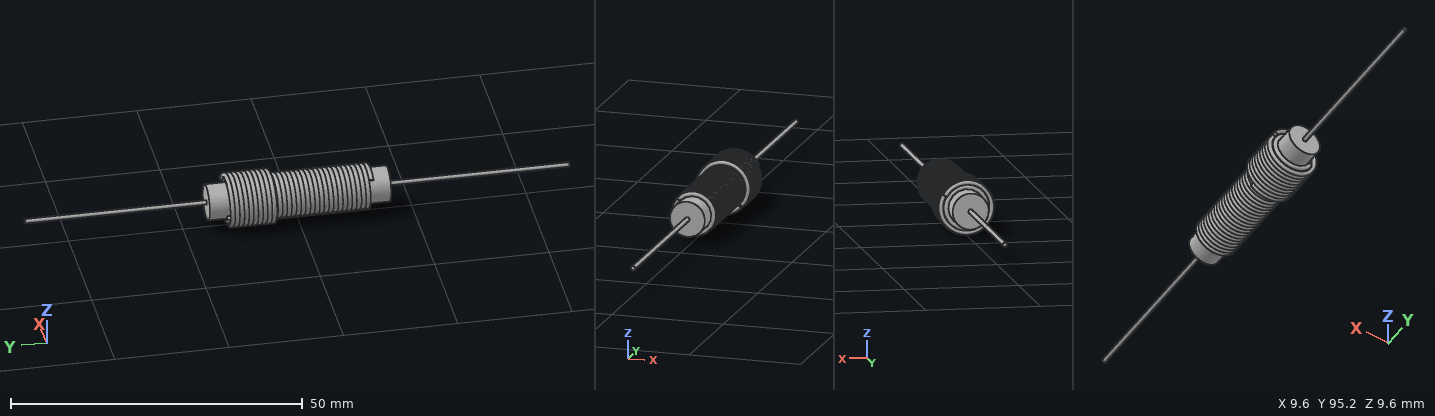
import cadquery as cq
import math

overall_length = 95.25
core_length = overall_length / 3
core_diameter = 6.3

wire_diameter = 0.81
turn_gap = 0.002
pitch = wire_diameter + turn_gap

outer_winding_diameter = 9.6
outer_coil_radius = (outer_winding_diameter - wire_diameter) / 2
inner_coil_radius = outer_coil_radius - wire_diameter

inner_turns = 30.8
inner_start_y = -inner_turns * pitch / 2
inner_start_angle = 135.0

outer_turns = 9.8
outer_start_y = 4.5
outer_start_angle = -42.0


def make_core():
    """Ferrite rod with a coaxial lead running out of each end."""
    rod = cq.Workplane("XZ").circle(core_diameter / 2).extrude(core_length / 2, both=True)
    leads = cq.Workplane("XZ").circle(wire_diameter / 2).extrude(overall_length / 2, both=True)
    return rod.union(leads)


def make_winding(coil_radius, turns, start_y, start_angle):
    """Right-handed coil of round wire around the Y axis, rising towards +Y from start_y."""
    helix = cq.Wire.makeHelix(pitch, turns * pitch, coil_radius)
    helix_angle = math.degrees(math.atan(pitch / (2 * math.pi * coil_radius)))
    wire_section = (
        cq.Workplane("XZ", origin=(coil_radius, 0, 0))
        .transformed(rotate=(-helix_angle, 0, 0))
        .circle(wire_diameter / 2)
    )
    coil = wire_section.sweep(cq.Workplane(helix), isFrenet=True)
    coil_along_y = coil.rotate((0, 0, 0), (1, 0, 0), -90)
    return coil_along_y.rotate((0, 0, 0), (0, 1, 0), -start_angle).translate((0, start_y, 0))


core = make_core()
inner_winding = make_winding(inner_coil_radius, inner_turns, inner_start_y, inner_start_angle)
outer_winding = make_winding(outer_coil_radius, outer_turns, outer_start_y, outer_start_angle)

result = cq.Compound.makeCompound([core.val(), inner_winding.val(), outer_winding.val()])